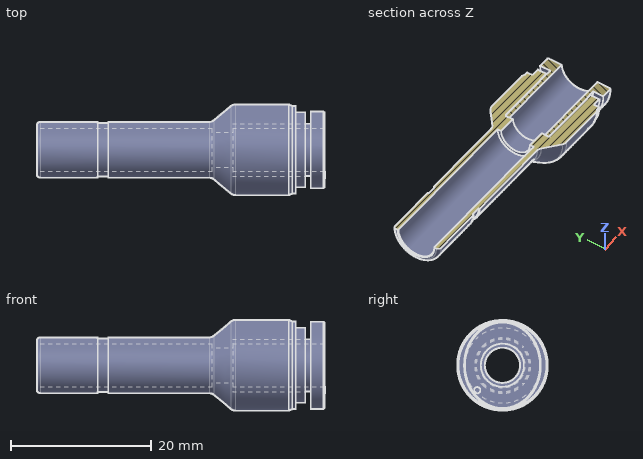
import cadquery as cq
import math


groove_start_x = 8.7
groove_end_x = 10.2
cone_start_x = 25.0
cone_end_x = 28.0
taper_start_x = 36.0
taper_end_x = 36.5
body_end_x = 37.0
guide_end_x = 38.35
flange_start_x = 39.1
flange_end_x = 41.1

stem_diameter = 8.0
groove_diameter = 7.7
body_diameter = 13.0
body_end_diameter = 12.55
guide_diameter = 10.75
stem_end_fillet = 0.5
cone_fillet = 1.0

stem_bore_diameter = 6.2
stem_mouth_chamfer = 0.1
through_diameter = 5.0
stem_bore_end_x = cone_start_x
socket_start_x = cone_end_x

neck_diameter = 7.5
sleeve_bore_diameter = 6.15
flange_width_y = 11.0
flange_height_z = 12.5
flange_chamfer = 0.15
mark_diameter = 0.9
mark_height = 0.1
mark_y = -3.6
mark_z = -3.55


def cylinder(diameter, start_x, end_x):
    """Solid cylinder on the X axis between two stations."""
    return cq.Workplane("YZ", origin=(start_x, 0, 0)).circle(diameter / 2).extrude(end_x - start_x)


def housing_outer():
    """Outer shape turned about X: stem, groove, cone, body, end taper and guide ring."""
    stem_r = stem_diameter / 2
    groove_r = groove_diameter / 2
    body_r = body_diameter / 2
    body_end_r = body_end_diameter / 2
    guide_r = guide_diameter / 2

    slope = math.atan2(body_r - stem_r, cone_end_x - cone_start_x)
    setback = cone_fillet * math.tan(slope / 2)
    run = setback * math.cos(slope)
    rise = setback * math.sin(slope)
    half_run = cone_fillet * math.sin(slope / 2)
    half_rise = cone_fillet * (1 - math.cos(slope / 2))
    lower_start_x = cone_start_x - setback
    upper_end_x = cone_end_x + setback

    tip_mid = stem_end_fillet * (1 - math.sqrt(0.5))

    return (
        cq.Workplane("XY")
        .moveTo(0, 0)
        .lineTo(0, stem_r - stem_end_fillet)
        .threePointArc((tip_mid, stem_r - tip_mid), (stem_end_fillet, stem_r))
        .lineTo(groove_start_x, stem_r)
        .lineTo(groove_start_x, groove_r)
        .lineTo(groove_end_x, groove_r)
        .lineTo(groove_end_x, stem_r)
        .lineTo(lower_start_x, stem_r)
        .threePointArc(
            (lower_start_x + half_run, stem_r + half_rise),
            (cone_start_x + run, stem_r + rise),
        )
        .lineTo(cone_end_x - run, body_r - rise)
        .threePointArc(
            (upper_end_x - half_run, body_r - half_rise),
            (upper_end_x, body_r),
        )
        .lineTo(taper_start_x, body_r)
        .lineTo(taper_end_x, body_end_r)
        .lineTo(body_end_x, body_end_r)
        .lineTo(body_end_x, guide_r)
        .lineTo(guide_end_x, guide_r)
        .lineTo(guide_end_x, 0)
        .close()
        .revolve(360, (0, 0, 0), (1, 0, 0))
    )


def make_housing():
    """Outer shape with the chamfered stem bore, the narrow passage and the sleeve socket."""
    stem_bore = cylinder(stem_bore_diameter, 0, stem_bore_end_x)
    mouth_diameter = stem_bore_diameter + 2 * stem_mouth_chamfer
    mouth = (
        cq.Workplane("YZ")
        .circle(mouth_diameter / 2)
        .workplane(offset=stem_mouth_chamfer)
        .circle(stem_bore_diameter / 2)
        .loft(ruled=True)
    )
    passage = cylinder(through_diameter, 0, guide_end_x)
    socket = cylinder(neck_diameter, socket_start_x, guide_end_x)
    return housing_outer().cut(stem_bore).cut(mouth).cut(passage).cut(socket)


def make_release_sleeve():
    """Neck filling the socket, oval chamfered flange with a round raised mark, and a bore."""
    neck = cylinder(neck_diameter, socket_start_x, flange_end_x)
    flange = (
        cq.Workplane("YZ", origin=(flange_start_x, 0, 0))
        .ellipse(flange_width_y / 2, flange_height_z / 2)
        .extrude(flange_end_x - flange_start_x)
        .faces(">X")
        .edges()
        .chamfer(flange_chamfer)
    )
    mark = (
        cq.Workplane("YZ", origin=(flange_end_x, 0, 0))
        .center(mark_y, mark_z)
        .circle(mark_diameter / 2)
        .extrude(mark_height)
    )
    bore = cylinder(sleeve_bore_diameter, socket_start_x, flange_end_x)
    return flange.union(neck).union(mark).cut(bore)


housing = make_housing()
release_sleeve = make_release_sleeve()

result = cq.Compound.makeCompound([housing.val(), release_sleeve.val()])